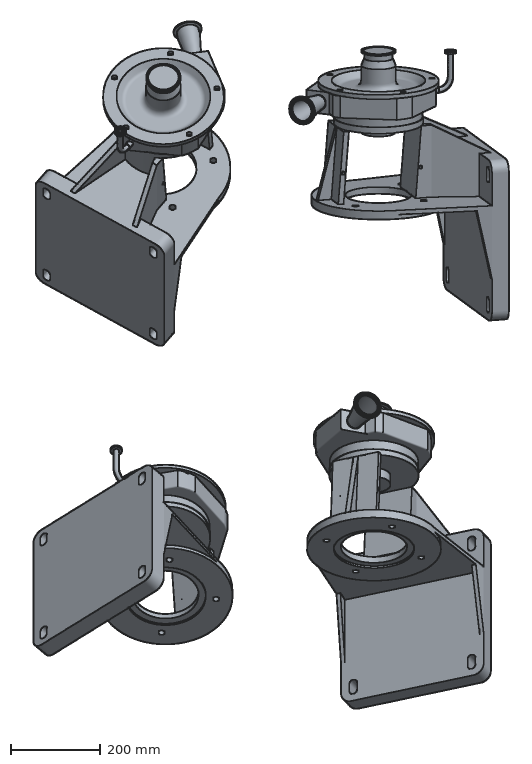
import math

import cadquery as cq


groove_section_radius = 1.4
inlet_groove_radius = 35.3
outlet_groove_radius = 28.2
drain_groove_radius = 10.1

plate_width = 350.0
plate_height = 370.0
plate_thickness = 40.0
plate_corner_radius = 25.0
plate_back_y = -250.0
plate_front_y = plate_back_y + plate_thickness
slot_spacing_x = 290.0
slot_spacing_z = 300.0
slot_length = 36.0
slot_width = 19.0

shelf_top_z = 270.0
shelf_thickness = 10.0
shelf_bottom_z = shelf_top_z - shelf_thickness
motor_flange_radius = 150.0
motor_flange_thickness = 20.0
motor_bore_radius = 74.0
motor_spigot_radius = 90.0
motor_spigot_depth = 5.0
motor_bolt_circle_radius = 113.5
motor_bolt_diameter = 14.0
motor_bolt_count = 4
motor_bolt_start_angle = 45.0

gusset_thickness = 10.0
gusset_tip_y = -176.0
gusset_bottom_z = 101.0

yoke_top_z = 436.0
yoke_height = yoke_top_z - shelf_top_z
leg_half_width = 56.0
leg_thickness = 12.5
leg_lean = 13.0
rear_leg_inner_top_y = 87.5
front_leg_inner_top_y = -82.5
rear_rib_tip_y = 144.0
rear_rib_thickness = 12.0
side_rib_knee_y = -107.0
side_rib_end_y = -235.0
side_rib_thickness = 11.5
side_rib_angle = math.radians(15)
leg_hole_diameter = 7.0
leg_hole_depth = 20.0
leg_hole_z = 341.0

neck_radius = 100.0
neck_step_z = 450.5
upper_neck_radius = 99.0
neck_top_z = 473.0
hub_radius = 37.0
hub_bottom_z = 413.5

casing_top_z = 524.0
flange_top_z = 534.0
flange_radius = 135.2
flange_bolt_circle_radius = 121.5
flange_bolt_diameter = 12.0
flange_bolt_count = 5
flange_bolt_start_angle = 45.0
casing_corner_radius = 132.0
casing_bottom_fillet = 3.5
casing_rounded_corners = (
    ((-132.0, 0.0), (-122.0, -40.0)),
    ((-40.0, -122.0), (-2.0, -132.5)),
    ((104.0, -78.5), (122.5, -40.0)),
    ((107.0, 78.0), (98.0, 99.0)),
)
casing_last_corner = (-73.5, 114.5)
shoulder_tip_x = 5.7
shoulder_foot_y = 127.0
shoulder_foot_end_x = -60.0
outlet_face_distance = 114.8

dish_radius = 105.0
dish_floor_z = 519.0
dish_floor_radius = 83.7
dish_fillet_radius = 14.0
dish_wall_angle = math.radians(45)

inlet_radius = 39.0
inlet_fillet_radius = 15.0
inlet_cone_bottom_z = 569.0
inlet_cone_top_z = 585.5
inlet_neck_radius = 32.0
inlet_ferrule_radius = 38.75
inlet_ferrule_thickness = 3.0
inlet_ferrule_taper = 2.0
inlet_top_z = 603.0

outlet_axis_z = 498.5
outlet_axis_offset = 91.2
outlet_end_distance = 199.8
outlet_root_radius = 17.5
outlet_root_length = 6.0
outlet_radius = 25.4
outlet_bore_radius = 23.8
outlet_bore_length = 12.0
outlet_root_bore_radius = 16.0
outlet_straight_length = 19.0
outlet_ferrule_radius = 32.0
outlet_ferrule_thickness = 3.0
outlet_ferrule_taper = 2.0

drain_radius = 6.5
drain_bore_radius = 5.0
drain_z = 501.0
drain_rise_y = -169.5
drain_bend_radius = 28.0
drain_root_y = -120.0
drain_socket_radius = 6.8
drain_socket_end_y = -141.0
drain_top_z = 589.5
drain_ferrule_radius = 13.0
drain_ferrule_thickness = 5.0


def cylinder(radius, bottom_z, top_z):
    """Upright cylinder on the pump axis."""
    return cq.Workplane("XY").workplane(offset=bottom_z).circle(radius).extrude(top_z - bottom_z)


def extrude_yz(points, start_x, end_x):
    """Polygon given as (y, z) points, extruded along X."""
    return cq.Workplane("YZ").workplane(offset=start_x).polyline(points).close().extrude(end_x - start_x)


def gasket_ring(ring_radius, z):
    """Ring that cuts a half-round groove into a flat face at the given height."""
    return cq.Workplane("XZ").center(ring_radius, z).circle(groove_section_radius).revolve(
        360, (-ring_radius, 0, 0), (-ring_radius, 1, 0)
    )


def wall_plate():
    blank = (
        cq.Workplane("XY")
        .box(plate_width, plate_thickness, plate_height, centered=(True, False, False))
        .translate((0, plate_back_y, 0))
        .edges("|Y")
        .fillet(plate_corner_radius)
    )
    slots = (
        cq.Workplane("XZ", origin=(0, plate_front_y, plate_height / 2))
        .rarray(slot_spacing_x, slot_spacing_z, 2, 2)
        .slot2D(slot_length, slot_width, 90)
        .extrude(plate_thickness)
    )
    return blank.cut(slots)


def shelf():
    web = (
        cq.Workplane("XY")
        .workplane(offset=shelf_bottom_z)
        .moveTo(-motor_flange_radius, 0)
        .lineTo(-plate_width / 2, plate_front_y)
        .lineTo(plate_width / 2, plate_front_y)
        .lineTo(motor_flange_radius, 0)
        .close()
        .extrude(shelf_thickness)
    )
    disc_bottom_z = shelf_top_z - motor_flange_thickness
    disc = cylinder(motor_flange_radius, disc_bottom_z, shelf_top_z)
    bore = cylinder(motor_bore_radius, disc_bottom_z, shelf_top_z)
    spigot_recess = cylinder(motor_spigot_radius, disc_bottom_z, disc_bottom_z + motor_spigot_depth)
    bolt_holes = (
        cq.Workplane("XY")
        .workplane(offset=shelf_top_z)
        .polarArray(motor_bolt_circle_radius, motor_bolt_start_angle, 360, motor_bolt_count)
        .circle(motor_bolt_diameter / 2)
        .extrude(-motor_flange_thickness)
    )
    return web.union(disc).cut(bore).cut(spigot_recess).cut(bolt_holes)


def lower_gussets():
    """Triangles flush with the two slanted side edges of the shelf."""
    profile = extrude_yz(
        [(plate_front_y, shelf_bottom_z), (gusset_tip_y, shelf_bottom_z), (plate_front_y, gusset_bottom_z)],
        -plate_width / 2,
        plate_width / 2,
    )

    def edge_x(y):
        return motor_flange_radius + (plate_width / 2 - motor_flange_radius) * y / plate_front_y

    gussets = cq.Workplane("XY")
    for side in (-1, 1):
        strip = [
            (side * edge_x(plate_front_y), plate_front_y),
            (side * edge_x(gusset_tip_y), gusset_tip_y),
            (side * (edge_x(gusset_tip_y) - gusset_thickness), gusset_tip_y),
            (side * (edge_x(plate_front_y) - gusset_thickness), plate_front_y),
        ]
        slab = cq.Workplane("XY").polyline(strip).close().extrude(shelf_bottom_z)
        gussets = gussets.add(slab.intersect(profile))
    return gussets.combine()


def rear_leg():
    """Leaning plate away from the wall, stiffened by one central rib."""
    inner_bottom_y = rear_leg_inner_top_y + leg_lean
    outer_top_y = rear_leg_inner_top_y + leg_thickness
    plate = extrude_yz(
        [
            (rear_leg_inner_top_y, yoke_top_z),
            (outer_top_y, yoke_top_z),
            (outer_top_y + leg_lean, shelf_top_z),
            (inner_bottom_y, shelf_top_z),
        ],
        -leg_half_width,
        leg_half_width,
    )
    rib = extrude_yz(
        [(outer_top_y, yoke_top_z), (rear_rib_tip_y, shelf_top_z), (inner_bottom_y, shelf_top_z)],
        -rear_rib_thickness / 2,
        rear_rib_thickness / 2,
    )
    return plate.union(rib)


def front_leg():
    """Leg with a leaning inner face, a round outer face and two splayed ribs.

    The space between the ribs is filled up to the top of the wall plate.
    """
    core_limits = cq.Workplane("XY").box(2 * leg_half_width, 2 * neck_radius, 2 * yoke_top_z)
    core = cylinder(neck_radius, shelf_top_z, yoke_top_z).intersect(core_limits)
    slope = math.tan(side_rib_angle)
    rib_width_x = side_rib_thickness / math.cos(side_rib_angle)
    end_x = leg_half_width + slope * (side_rib_knee_y - side_rib_end_y)
    inner_end_x = end_x - rib_width_x
    inner_axis_x = inner_end_x + slope * side_rib_end_y
    ribs = cq.Workplane("XY").workplane(offset=shelf_top_z)
    for side in (-1, 1):
        ribs = (
            ribs.moveTo(side * leg_half_width, 0)
            .lineTo(side * leg_half_width, side_rib_knee_y)
            .lineTo(side * end_x, side_rib_end_y)
            .lineTo(side * inner_end_x, side_rib_end_y)
            .lineTo(side * inner_axis_x, 0)
            .close()
        )
    ribs = ribs.extrude(yoke_height)
    web = (
        cq.Workplane("XY")
        .workplane(offset=shelf_top_z)
        .polyline(
            [
                (-inner_end_x, side_rib_end_y),
                (inner_end_x, side_rib_end_y),
                (inner_axis_x, 0),
                (-inner_axis_x, 0),
            ]
        )
        .close()
        .extrude(plate_height - shelf_top_z)
    )
    side_profile = extrude_yz(
        [
            (front_leg_inner_top_y, yoke_top_z),
            (side_rib_knee_y, yoke_top_z),
            (side_rib_end_y, plate_height),
            (side_rib_end_y, shelf_top_z),
            (front_leg_inner_top_y + leg_lean, shelf_top_z),
        ],
        -plate_width / 2,
        plate_width / 2,
    )
    return core.union(ribs).union(web).intersect(side_profile)


def leg_side_holes():
    """Blind holes in both side faces of each leg, centred in the leg thickness."""
    lean_at_hole = leg_lean * (yoke_top_z - leg_hole_z) / yoke_height
    hole_offsets_y = (
        rear_leg_inner_top_y + lean_at_hole + leg_thickness / 2,
        front_leg_inner_top_y + lean_at_hole - leg_thickness / 2,
    )
    holes = cq.Workplane("XY")
    for hole_y in hole_offsets_y:
        for side in (-1, 1):
            start = cq.Vector(side * leg_half_width, hole_y, leg_hole_z)
            direction = cq.Vector(-side, 0, 0)
            hole = cq.Solid.makeCylinder(leg_hole_diameter / 2, leg_hole_depth, start, direction)
            holes = holes.add(hole)
    return holes


def casing():
    """Five-sided volute with four rounded corners and a tangential outlet shoulder."""
    outlet_face_rise = outlet_face_distance * math.sqrt(2)
    outline = cq.Workplane("XY").workplane(offset=neck_top_z).moveTo(*casing_last_corner)
    for corner_start, corner_end in casing_rounded_corners:
        outline = outline.lineTo(*corner_start).radiusArc(corner_end, -casing_corner_radius)
    return (
        outline.lineTo(shoulder_tip_x, shoulder_tip_x + outlet_face_rise)
        .lineTo(shoulder_foot_y - outlet_face_rise, shoulder_foot_y)
        .lineTo(shoulder_foot_end_x, shoulder_foot_y)
        .close()
        .extrude(casing_top_z - neck_top_z)
        .faces("<Z")
        .edges("not(|(1,1,0))")
        .fillet(casing_bottom_fillet)
    )


def front_flange_holes():
    return (
        cq.Workplane("XY")
        .workplane(offset=flange_top_z)
        .polarArray(flange_bolt_circle_radius, flange_bolt_start_angle, 360, flange_bolt_count)
        .circle(flange_bolt_diameter / 2)
        .extrude(casing_top_z - flange_top_z)
    )


def dish():
    """Ring-shaped recess: conical wall, rounded floor edge, flat floor and a fillet up to the inlet pipe."""
    sin_wall = math.sin(dish_wall_angle)
    cos_wall = math.cos(dish_wall_angle)
    arc_end = (
        dish_floor_radius + dish_fillet_radius * sin_wall,
        dish_floor_z + dish_fillet_radius * (1 - cos_wall),
    )
    arc_middle = (
        dish_floor_radius + dish_fillet_radius * math.sin(dish_wall_angle / 2),
        dish_floor_z + dish_fillet_radius * (1 - math.cos(dish_wall_angle / 2)),
    )
    return (
        cq.Workplane("XZ")
        .moveTo(inlet_radius, flange_top_z)
        .lineTo(dish_radius, flange_top_z)
        .lineTo(*arc_end)
        .threePointArc(arc_middle, (dish_floor_radius, dish_floor_z))
        .lineTo(inlet_radius + inlet_fillet_radius, dish_floor_z)
        .radiusArc((inlet_radius, dish_floor_z + inlet_fillet_radius), inlet_fillet_radius)
        .close()
        .revolve(360, (0, 0, 0), (0, 1, 0))
    )


def inlet_pipe():
    ferrule_bottom_z = inlet_top_z - inlet_ferrule_thickness
    return (
        cq.Workplane("XZ")
        .moveTo(0, dish_floor_z)
        .lineTo(inlet_radius, dish_floor_z)
        .lineTo(inlet_radius, inlet_cone_bottom_z)
        .lineTo(inlet_neck_radius, inlet_cone_top_z)
        .lineTo(inlet_neck_radius, ferrule_bottom_z - inlet_ferrule_taper)
        .lineTo(inlet_ferrule_radius, ferrule_bottom_z)
        .lineTo(inlet_ferrule_radius, inlet_top_z)
        .lineTo(0, inlet_top_z)
        .close()
        .revolve(360, (0, 0, 0), (0, 1, 0))
        .cut(gasket_ring(inlet_groove_radius, inlet_top_z))
    )


def along_outlet(solid):
    """Turn a solid made along +Z so that it lies on the discharge axis."""
    offset = outlet_axis_offset * math.sqrt(0.5)
    return (
        solid.rotate((0, 0, 0), (1, 0, 0), -90)
        .rotate((0, 0, 0), (0, 0, 1), 45)
        .translate((offset, offset, outlet_axis_z))
    )


def outlet_pipe():
    ferrule_start = outlet_end_distance - outlet_ferrule_thickness
    straight_start = outlet_end_distance - outlet_straight_length
    pipe = (
        cq.Workplane("XZ")
        .moveTo(0, outlet_face_distance)
        .lineTo(outlet_root_radius, outlet_face_distance)
        .lineTo(outlet_root_radius, outlet_face_distance + outlet_root_length)
        .lineTo(outlet_radius, straight_start)
        .lineTo(outlet_radius, ferrule_start - outlet_ferrule_taper)
        .lineTo(outlet_ferrule_radius, ferrule_start)
        .lineTo(outlet_ferrule_radius, outlet_end_distance)
        .lineTo(0, outlet_end_distance)
        .close()
        .revolve(360, (0, 0, 0), (0, 1, 0))
    )
    bore = (
        cq.Workplane("XZ")
        .moveTo(0, outlet_face_distance)
        .lineTo(outlet_root_bore_radius, outlet_face_distance)
        .lineTo(outlet_bore_radius, outlet_end_distance - outlet_bore_length)
        .lineTo(outlet_bore_radius, outlet_end_distance)
        .lineTo(0, outlet_end_distance)
        .close()
        .revolve(360, (0, 0, 0), (0, 1, 0))
    )
    return along_outlet(pipe.cut(bore).cut(gasket_ring(outlet_groove_radius, outlet_end_distance)))


def drain_path(start_y):
    """Centre line: out from the casing, round the bend and up."""
    bend_middle_offset = drain_bend_radius * (1 - math.sqrt(0.5))
    return (
        cq.Workplane("YZ")
        .moveTo(start_y, drain_z)
        .lineTo(drain_rise_y + drain_bend_radius, drain_z)
        .threePointArc(
            (drain_rise_y + bend_middle_offset, drain_z + bend_middle_offset),
            (drain_rise_y, drain_z + drain_bend_radius),
        )
        .lineTo(drain_rise_y, drain_top_z)
    )


def drain_tube(radius, start_y):
    return cq.Workplane("XZ", origin=(0, start_y, drain_z)).circle(radius).sweep(drain_path(start_y))


def drain_pipe():
    """Bent pipe rising beside the casing, with a socket at the casing and a ferrule on top."""
    socket = (
        cq.Workplane("XZ", origin=(0, drain_root_y, drain_z))
        .circle(drain_socket_radius)
        .extrude(drain_root_y - drain_socket_end_y)
    )
    ferrule = (
        cq.Workplane("XY", origin=(0, drain_rise_y, drain_top_z))
        .circle(drain_ferrule_radius)
        .extrude(-drain_ferrule_thickness)
    )
    groove = gasket_ring(drain_groove_radius, drain_top_z).translate((0, drain_rise_y, 0))
    return drain_tube(drain_radius, drain_root_y).union(socket).union(ferrule).cut(groove)


bracket = (
    wall_plate()
    .union(shelf())
    .union(lower_gussets())
    .union(rear_leg())
    .union(front_leg())
    .cut(leg_side_holes())
)
pump_body = (
    cylinder(neck_radius, yoke_top_z, neck_step_z)
    .union(cylinder(upper_neck_radius, neck_step_z, neck_top_z))
    .union(cylinder(hub_radius, hub_bottom_z, yoke_top_z))
    .union(casing())
    .union(cylinder(flange_radius, casing_top_z, flange_top_z))
    .cut(dish())
    .cut(front_flange_holes())
    .union(inlet_pipe())
    .union(outlet_pipe())
    .union(drain_pipe())
    .cut(drain_tube(drain_bore_radius, drain_socket_end_y))
)
result = bracket.union(pump_body)